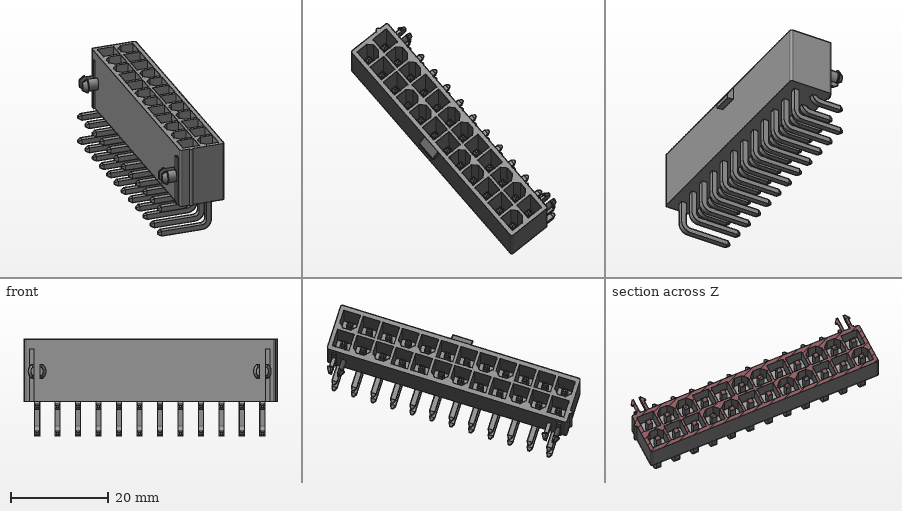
import cadquery as cq
import math


overall_length = 52.0
housing_length = 51.6
housing_width = 9.65
housing_height = 12.8
corner_radius = 0.4
front_y = -housing_width / 2
back_y = housing_width / 2

columns = 12
column_span = 46.25
pitch = column_span / (columns - 1)
cavity_size = 3.6
cavity_depth = 10.4
cavity_chamfer = 1.0

pin_size = 1.1
pin_offset = 0.15
pin_recess = 3.65
pin_top = housing_height - pin_recess
pin_reach = 3.95
pin_drop = 7.1
pin_row_gap = 5.5
bend_inner_radius = 1.0
tip_length = 0.7
tip_size = 0.4

latch_length = 4.25
latch_reach = 1.35
latch_height = 3.1
latch_ramp_height = 2.15
latch_hook = 0.15

rib_width = 0.95
rib_thickness = 0.3
rib_top_gap = 2.05
rib_height = housing_height - rib_top_gap
rib_edge_gap = 1.15

key_radius = overall_length - housing_length
key_y = front_y + 2.4

peg_z = housing_height - 6.6
peg_radius = 1.5
peg_slot = 1.25
barb_radius = 1.8
barb_height = 2.9
barb_start = 2.2
barb_land = 0.2
peg_reach = 3.35
barb_inset = 0.55

column_xs = [(column - (columns - 1) / 2) * pitch for column in range(columns)]
row_ys = {"back": pitch / 2, "front": -pitch / 2}


def make_housing():
    block = cq.Workplane("XY").box(
        housing_length, housing_width, housing_height, centered=(True, True, False)
    )
    return block.edges("|Z").fillet(corner_radius)


def make_cavity(x, y, keyed):
    cavity = (
        cq.Workplane("XY", origin=(x, y, housing_height - cavity_depth))
        .box(cavity_size, cavity_size, cavity_depth, centered=(True, True, False))
    )
    if keyed:
        cavity = cavity.faces("<Y").edges("|Z").chamfer(cavity_chamfer)
    return cavity


def is_keyed(column, row):
    """Keyed cavities run in pairs that alternate between the two rows."""
    outer_of_four = column % 4 in (0, 3)
    return outer_of_four == (row == "back")


def make_tip(base_plane):
    """Tapered point that grows along the normal of base_plane."""
    return (
        base_plane.rect(pin_size, pin_size)
        .workplane(offset=tip_length)
        .rect(tip_size, tip_size)
        .loft(combine=True)
    )


def make_pin(x, y, bottom_z):
    """L-shaped square pin, pointed at both ends."""
    half = pin_size / 2
    tail_end_y = front_y - pin_reach + tip_length
    post_end_z = pin_top - tip_length
    bar = (
        cq.Workplane("YZ", origin=(x - half, 0, 0))
        .moveTo(tail_end_y, bottom_z)
        .lineTo(y + half, bottom_z)
        .lineTo(y + half, post_end_z)
        .lineTo(y - half, post_end_z)
        .lineTo(y - half, bottom_z + pin_size)
        .lineTo(tail_end_y, bottom_z + pin_size)
        .close()
        .extrude(pin_size)
    )
    inner_corner = cq.selectors.NearestToPointSelector((x, y - half, bottom_z + pin_size))
    outer_corner = cq.selectors.NearestToPointSelector((x, y + half, bottom_z))
    bar = bar.edges(inner_corner).fillet(bend_inner_radius)
    bar = bar.edges(outer_corner).fillet(bend_inner_radius + pin_size)
    post_tip = make_tip(cq.Workplane("XY", origin=(x, y, post_end_z)))
    tail_tip = make_tip(cq.Workplane("XZ", origin=(x, tail_end_y, bottom_z + half)))
    return bar.union(post_tip).union(tail_tip)


def make_latch():
    return (
        cq.Workplane("YZ", origin=(-latch_length / 2, 0, 0))
        .moveTo(back_y, housing_height)
        .lineTo(back_y + latch_reach, housing_height - latch_ramp_height)
        .lineTo(back_y + latch_reach, housing_height - latch_height)
        .lineTo(back_y, housing_height - latch_height + latch_hook)
        .close()
        .extrude(latch_length)
    )


def make_rib(side):
    rib_x = side * (housing_length / 2 - rib_edge_gap - rib_width / 2)
    return cq.Workplane("XY", origin=(rib_x, front_y - rib_thickness, 0)).box(
        rib_width, 2 * rib_thickness, rib_height, centered=(True, False, False)
    )


def make_key():
    return (
        cq.Workplane("XY", origin=(housing_length / 2, key_y, 0))
        .circle(key_radius)
        .extrude(housing_height)
    )


def flat_sided_disc(plane, radius, half_height):
    """Circle outline cut flat above and below its centre."""
    half_chord = math.sqrt(radius**2 - half_height**2)
    return (
        plane.moveTo(-half_chord, half_height)
        .lineTo(half_chord, half_height)
        .threePointArc((radius, 0), (half_chord, -half_height))
        .lineTo(-half_chord, -half_height)
        .threePointArc((-radius, 0), (-half_chord, half_height))
        .close()
    )


def make_peg(x):
    """Round peg with a barb that narrows towards its end, split by an upright slot."""
    root = cq.Workplane("XZ", origin=(x, front_y, peg_z))
    shank = root.circle(peg_radius).extrude(barb_start)

    half_height = barb_height / 2
    taper_start = barb_start + barb_land
    land = flat_sided_disc(root.workplane(offset=barb_start), barb_radius, half_height)
    land = land.extrude(barb_land)
    taper = flat_sided_disc(root.workplane(offset=taper_start), barb_radius, half_height)
    taper = flat_sided_disc(
        taper.workplane(offset=peg_reach - taper_start),
        barb_radius - barb_inset,
        half_height - barb_inset,
    ).loft(ruled=True)

    slot = root.rect(peg_slot, 2 * barb_radius).extrude(peg_reach)
    return shank.union(land).union(taper).cut(slot)


result = make_housing().union(make_latch()).union(make_key())
for side in (-1, 1):
    result = result.union(make_rib(side))
for peg_x in (column_xs[0], column_xs[-1]):
    result = result.union(make_peg(peg_x))

for column, x in enumerate(column_xs):
    for row, y in row_ys.items():
        result = result.cut(make_cavity(x, y, is_keyed(column, row)))

pin_bottoms = {"back": -pin_drop, "front": -pin_drop + pin_row_gap}
for x in column_xs:
    for row, y in row_ys.items():
        result = result.union(make_pin(x, y + pin_offset, pin_bottoms[row]))